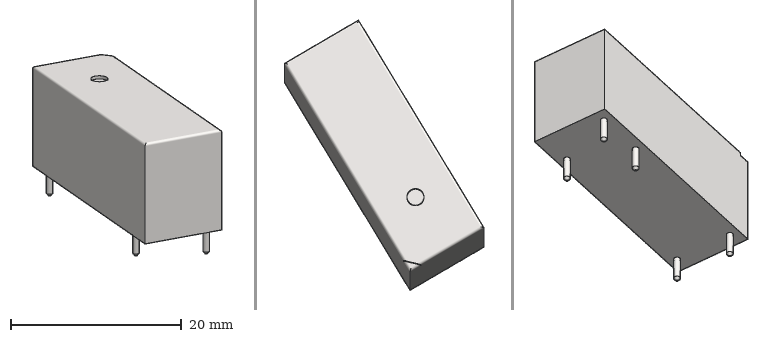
import cadquery as cq

length = 28.8
width = 10.1
overall_height = 15.8
pin_length = 3.28
case_height = overall_height - pin_length
edge_radius = 0.32

corner_leg = 1.5
corner_drop = 0.4

recess_diameter = 2.0
recess_depth = 0.4
recess_x = -7.15

pin_diameter = 0.8
tip_diameter = 0.25
tip_length = 0.35
row_offset = 3.8
coil_x = -12.5
common_x = 9.62
contact_pitch = 3.2
pin_positions = [
    (coil_x, -row_offset),
    (coil_x, row_offset),
    (common_x, -row_offset),
    (common_x - contact_pitch, row_offset),
    (common_x + contact_pitch, row_offset),
]


def rounded_block(height):
    """Block with the case footprint and rounded top edges."""
    block = cq.Workplane("XY").box(length, width, height, centered=(True, True, False))
    return block.faces(">Z").edges().fillet(edge_radius)


def make_case():
    """Full-height block without one corner, joined to a lower block that fills it."""
    corner = (
        cq.Workplane("XY")
        .moveTo(-length / 2, width / 2)
        .lineTo(-length / 2 + corner_leg, width / 2)
        .lineTo(-length / 2, width / 2 - corner_leg)
        .close()
        .extrude(case_height)
    )
    lowered_corner = rounded_block(case_height - corner_drop).intersect(corner)
    return rounded_block(case_height).cut(corner).union(lowered_corner)


def make_lid_recess():
    """Cylinder to remove from the top of the case."""
    return (
        cq.Workplane("XY", origin=(recess_x, 0, case_height - recess_depth))
        .circle(recess_diameter / 2)
        .extrude(recess_depth)
    )


def make_pin(x, y):
    """Round pin hanging from the underside, with a blunt conical tip."""
    shank_length = pin_length - tip_length
    return (
        cq.Workplane("XZ", origin=(x, y, 0))
        .lineTo(pin_diameter / 2, 0)
        .lineTo(pin_diameter / 2, -shank_length)
        .lineTo(tip_diameter / 2, -pin_length)
        .lineTo(0, -pin_length)
        .close()
        .revolve(360, (0, 0, 0), (0, 1, 0))
    )


result = make_case().cut(make_lid_recess())
for pin_x, pin_y in pin_positions:
    result = result.union(make_pin(pin_x, pin_y))